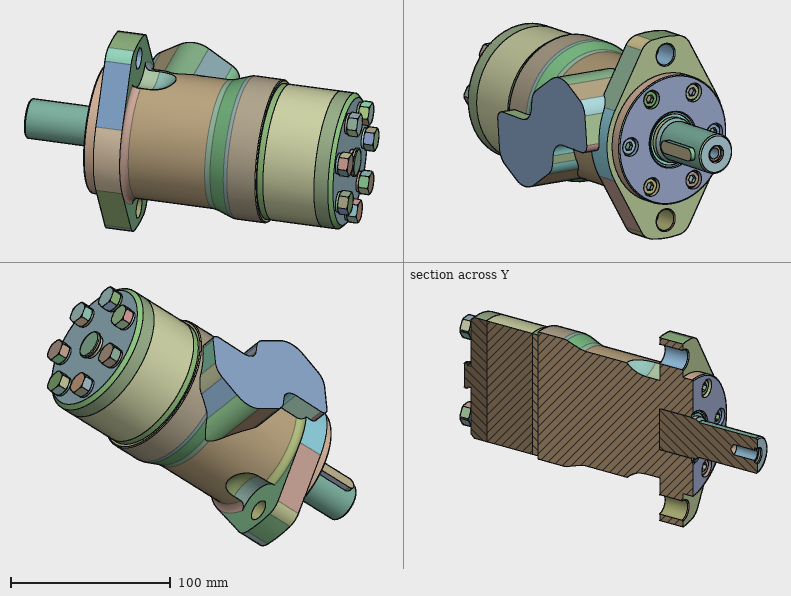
import cadquery as cq
import math

COLLAR_START = 42.6
PILOT_FRONT = 46.5
FLANGE_FRONT = 54.0
FLANGE_BACK = 71.2
NECK_END = 127.0
SHOULDER_START = 139.5
HOUSING_BACK = 159.7
PLATE_BACK = 163.6
GEROTOR_BACK = 196.7
COVER_BACK = 208.5
BOLT_HEAD_FRONT = 210.0
PLUG_BACK = 213.2
OVERALL_LENGTH = 216.5

PILOT_DIA = 82.7
NECK_RADIUS = 40.7
SHOULDER_RADIUS = 45.2
SHOULDER_INNER_FILLET = 10.8
SHOULDER_OUTER_FILLET = 7.4
FLANGE_FILLET = 4.3
EDGE_CHAMFER = 0.6

EAR_TIP_RADIUS = 65.0
EAR_SIDE_ANGLE = 30.0
EAR_CORNER_RADIUS = 11.3
MOUNT_HOLE_DIA = 13.5
MOUNT_HOLE_CHAMFER = 0.6
MOUNT_HOLE_OFFSET = 53.2
SCALLOP_RADIUS = 18.6
SCALLOP_LENGTH = 10.0

BLOCK_CENTRE_X = 110.2
BLOCK_ROOT_Y = 13.0
BLOCK_FACE_Y = 54.8
BLOCK_HALF_OUTLINE = [
    (-18.2, 41.8, 17.5),
    (-45.0, 25.5, 12.1),
    (-48.3, -4.8, 5.0),
    (-12.5, -4.0, 9.7),
    (-10.5, -23.0, 10.2),
]

SCREW_COUNT = 6
SCREW_CIRCLE_RADIUS = 32.5
SCREW_RECESS_DIA = 12.0
SCREW_HEAD_DIA = 10.0
SCREW_RECESS_DEPTH = 3.0
SCREW_HEAD_DEPTH = 1.7
SCREW_SOCKET_FLATS = 5.0
SCREW_SOCKET_DEPTH = 2.5

SHAFT_DIA = 25.0
SHAFT_CHAMFER = 0.9
COLLAR_DIA = 28.5
COLLAR_CONE_LENGTH = 2.2
SEAL_RECESS_DIA = 32.7
SEAL_RECESS_DEPTH = 1.3
SEAL_RIM_DIA = 36.4
SEAL_RIM_DEPTH = 0.6
SEAL_RIM_CHAMFER = 0.6
CENTRE_RECESS_DIA = 10.0
CENTRE_RECESS_DEPTH = 2.2
CENTRE_RECESS_CHAMFER = 0.6
CENTRE_HOLE_DIA = 7.0
CENTRE_HOLE_DEPTH = 17.3
DRILL_HALF_ANGLE = 59.0

KEY_START = 5.2
KEY_LENGTH = 32.2
KEY_WIDTH = 8.0
KEY_TOP_Y = 15.5
KEY_HEIGHT = 7.0

REAR_DIA = 86.0
COVER_CHAMFER = 2.5
BOLT_COUNT = 7
BOLT_CIRCLE_RADIUS = 31.5
BOLT_FLATS = 13.0
BOLT_EDGE_CHAMFER = 0.6
PLUG_DIA = 18.0
PLUG_NECK_DIA = 15.5
PLUG_NECK_LENGTH = 2.2
PLUG_CHAMFER = 0.6


def yz_plane(x):
    """Workplane facing +X, local axes Y and Z."""
    return cq.Workplane("YZ", origin=(x, 0, 0))


def cylinder(start, end, diameter):
    return yz_plane(start).circle(diameter / 2).extrude(end - start)


def revolve_about_axis(half_section):
    """Solid of revolution about X from (X, radius) points."""
    return cq.Workplane("XY").polyline(half_section).close().revolve(360, (0, 0, 0), (1, 0, 0))


def circle_points(radius, count):
    """Equally spaced (Y, Z) points, the first one on +Y."""
    step = 2 * math.pi / count
    return [(radius * math.cos(i * step), radius * math.sin(i * step)) for i in range(count)]


def hexagon(start, length, flats):
    """Hexagonal prism on the X axis with two of its corners along Y."""
    across_corners = flats / math.cos(math.pi / 6)
    return yz_plane(start).polygon(6, across_corners).extrude(length)


def make_flange():
    angle = math.radians(EAR_SIDE_ANGLE)
    side_y = SHOULDER_RADIUS * math.cos(angle)
    side_z = SHOULDER_RADIUS * math.sin(angle)
    side_length = math.sqrt(EAR_TIP_RADIUS**2 - SHOULDER_RADIUS**2)
    tip_y = side_y - side_length * math.sin(angle)
    tip_z = side_z + side_length * math.cos(angle)
    return (
        yz_plane(FLANGE_FRONT)
        .moveTo(side_y, -side_z)
        .threePointArc((SHOULDER_RADIUS, 0), (side_y, side_z))
        .lineTo(tip_y, tip_z)
        .threePointArc((0, EAR_TIP_RADIUS), (-tip_y, tip_z))
        .lineTo(-side_y, side_z)
        .threePointArc((-SHOULDER_RADIUS, 0), (-side_y, -side_z))
        .lineTo(-tip_y, -tip_z)
        .threePointArc((0, -EAR_TIP_RADIUS), (tip_y, -tip_z))
        .close()
        .extrude(FLANGE_BACK - FLANGE_FRONT)
        .edges("|X")
        .edges(">Z or <Z")
        .fillet(EAR_CORNER_RADIUS)
    )


def make_barrel():
    """Round body behind the flange: neck, flared root and the wider shoulder."""
    root_radius = NECK_RADIUS + FLANGE_FILLET
    root_mid = FLANGE_FILLET * (1 - math.sqrt(0.5))
    barrel = (
        cq.Workplane("XY")
        .moveTo(FLANGE_FRONT, 0)
        .lineTo(FLANGE_FRONT, NECK_RADIUS)
        .lineTo(FLANGE_BACK, NECK_RADIUS)
        .lineTo(FLANGE_BACK, root_radius)
        .threePointArc(
            (FLANGE_BACK + root_mid, NECK_RADIUS + root_mid),
            (FLANGE_BACK + FLANGE_FILLET, NECK_RADIUS),
        )
        .lineTo(NECK_END, NECK_RADIUS)
        .lineTo(SHOULDER_START, SHOULDER_RADIUS)
        .lineTo(HOUSING_BACK, SHOULDER_RADIUS)
        .lineTo(HOUSING_BACK, 0)
        .close()
        .revolve(360, (0, 0, 0), (1, 0, 0))
    )
    inner_edge = cq.selectors.NearestToPointSelector((NECK_END, 0, 0))
    outer_edge = cq.selectors.NearestToPointSelector((SHOULDER_START, 0, 0))
    barrel = barrel.edges(">X").chamfer(EDGE_CHAMFER)
    barrel = barrel.edges("%CIRCLE").edges(inner_edge).fillet(SHOULDER_INNER_FILLET)
    return barrel.edges("%CIRCLE").edges(outer_edge).fillet(SHOULDER_OUTER_FILLET)


def make_port_block():
    outline = BLOCK_HALF_OUTLINE + [(-x, -z, radius) for x, z, radius in BLOCK_HALF_OUTLINE]
    corners = [(BLOCK_CENTRE_X + x, z) for x, z, radius in outline]
    root_plane = cq.Workplane("XZ", origin=(0, BLOCK_ROOT_Y, 0))
    block = root_plane.polyline(corners).close().extrude(BLOCK_ROOT_Y - BLOCK_FACE_Y)
    middle_y = (BLOCK_ROOT_Y + BLOCK_FACE_Y) / 2
    for (x, z), (_, _, radius) in zip(corners, outline):
        corner_edge = cq.selectors.NearestToPointSelector((x, middle_y, z))
        block = block.edges(corner_edge).fillet(radius)
    return block


def scallop(side):
    """Round-ended clearance behind a mounting hole; side is +1 or -1 along Z."""
    ball_centre = FLANGE_BACK + SCALLOP_LENGTH
    diagonal = SCALLOP_RADIUS * math.sqrt(0.5)
    return (
        cq.Workplane("XY")
        .moveTo(FLANGE_BACK, 0)
        .lineTo(FLANGE_BACK, SCALLOP_RADIUS)
        .lineTo(ball_centre, SCALLOP_RADIUS)
        .threePointArc((ball_centre + diagonal, diagonal), (ball_centre + SCALLOP_RADIUS, 0))
        .close()
        .revolve(360, (0, 0, 0), (1, 0, 0))
        .translate((0, 0, side * MOUNT_HOLE_OFFSET))
    )


def mounting_hole(side):
    hole_radius = MOUNT_HOLE_DIA / 2
    half_section = [
        (FLANGE_FRONT, 0),
        (FLANGE_FRONT, hole_radius + MOUNT_HOLE_CHAMFER),
        (FLANGE_FRONT + MOUNT_HOLE_CHAMFER, hole_radius),
        (FLANGE_BACK, hole_radius),
        (FLANGE_BACK, 0),
    ]
    return revolve_about_axis(half_section).translate((0, 0, side * MOUNT_HOLE_OFFSET))


def socket_screw_recess(y, z):
    """Ring-shaped gap around a sunk screw head, with the hexagon socket of the head."""
    recess = cylinder(PILOT_FRONT, PILOT_FRONT + SCREW_RECESS_DEPTH, SCREW_RECESS_DIA)
    head_top = PILOT_FRONT + SCREW_HEAD_DEPTH
    head = cylinder(head_top, PILOT_FRONT + SCREW_RECESS_DEPTH, SCREW_HEAD_DIA)
    socket = hexagon(head_top, SCREW_SOCKET_DEPTH, SCREW_SOCKET_FLATS)
    return recess.cut(head).union(socket).translate((0, y, z))


def shaft_opening():
    """Shaft bore with the stepped seal recess in front of it."""
    rim_back = PILOT_FRONT + SEAL_RIM_DEPTH
    recess_back = PILOT_FRONT + SEAL_RECESS_DEPTH
    half_section = [
        (PILOT_FRONT, 0),
        (PILOT_FRONT, SEAL_RIM_DIA / 2),
        (rim_back, SEAL_RIM_DIA / 2 - SEAL_RIM_CHAMFER),
        (rim_back, SEAL_RECESS_DIA / 2),
        (recess_back, SEAL_RECESS_DIA / 2),
        (recess_back, COLLAR_DIA / 2),
        (FLANGE_BACK, COLLAR_DIA / 2),
        (FLANGE_BACK, 0),
    ]
    return revolve_about_axis(half_section)


def make_housing():
    pilot = cylinder(PILOT_FRONT, FLANGE_FRONT, PILOT_DIA).faces("<X").edges().chamfer(EDGE_CHAMFER)
    housing = make_barrel().union(pilot)
    for side in (-1, 1):
        housing = housing.cut(scallop(side))
    housing = housing.union(make_flange()).union(make_port_block())
    for side in (-1, 1):
        housing = housing.cut(mounting_hole(side))
    for y, z in circle_points(SCREW_CIRCLE_RADIUS, SCREW_COUNT):
        housing = housing.cut(socket_screw_recess(y, z))
    return housing.cut(shaft_opening())


def make_key():
    """Round-ended parallel key lying along X."""
    return (
        cq.Workplane("XZ", origin=(KEY_START + KEY_LENGTH / 2, KEY_TOP_Y, 0))
        .slot2D(KEY_LENGTH, KEY_WIDTH)
        .extrude(KEY_HEIGHT)
    )


def make_shaft(key):
    shaft_half_section = [
        (0, 0),
        (0, SHAFT_DIA / 2 - SHAFT_CHAMFER),
        (SHAFT_CHAMFER, SHAFT_DIA / 2),
        (COLLAR_START, SHAFT_DIA / 2),
        (COLLAR_START + COLLAR_CONE_LENGTH, COLLAR_DIA / 2),
        (FLANGE_BACK, COLLAR_DIA / 2),
        (FLANGE_BACK, 0),
    ]
    shaft = revolve_about_axis(shaft_half_section)
    hole_radius = CENTRE_HOLE_DIA / 2
    recess_radius = CENTRE_RECESS_DIA / 2
    drill_tip = CENTRE_HOLE_DEPTH + hole_radius / math.tan(math.radians(DRILL_HALF_ANGLE))
    hole_half_section = [
        (0, 0),
        (0, recess_radius + CENTRE_RECESS_CHAMFER),
        (CENTRE_RECESS_CHAMFER, recess_radius),
        (CENTRE_RECESS_DEPTH, recess_radius),
        (CENTRE_RECESS_DEPTH, hole_radius),
        (CENTRE_HOLE_DEPTH, hole_radius),
        (drill_tip, 0),
    ]
    return shaft.cut(revolve_about_axis(hole_half_section)).cut(key)


def bolt_head(y, z):
    """Hexagon head with chamfered corners on a round washer face."""
    length = OVERALL_LENGTH - BOLT_HEAD_FRONT
    across_corners = BOLT_FLATS / math.cos(math.pi / 6)
    envelope = cylinder(BOLT_HEAD_FRONT, OVERALL_LENGTH, across_corners).edges().chamfer(BOLT_EDGE_CHAMFER)
    head = hexagon(BOLT_HEAD_FRONT, length, BOLT_FLATS).intersect(envelope)
    washer_face = cylinder(COVER_BACK, BOLT_HEAD_FRONT, BOLT_FLATS)
    return head.union(washer_face).translate((0, y, z))


def make_end_cover():
    cover = cylinder(GEROTOR_BACK, COVER_BACK, REAR_DIA).faces(">X").edges().chamfer(COVER_CHAMFER)
    for y, z in circle_points(BOLT_CIRCLE_RADIUS, BOLT_COUNT):
        cover = cover.union(bolt_head(y, z))
    plug_start = COVER_BACK + PLUG_NECK_LENGTH
    plug_head = cylinder(plug_start, PLUG_BACK, PLUG_DIA).edges().chamfer(PLUG_CHAMFER)
    plug_neck = cylinder(COVER_BACK, plug_start, PLUG_NECK_DIA)
    return cover.union(plug_neck).union(plug_head)


housing = make_housing()
key = make_key()
shaft = make_shaft(key)
distributor_plate = cylinder(HOUSING_BACK, PLATE_BACK, REAR_DIA)
gerotor_set = cylinder(PLATE_BACK, GEROTOR_BACK, REAR_DIA)
end_cover = make_end_cover()

result = cq.Compound.makeCompound(
    [
        housing.val(),
        shaft.val(),
        key.val(),
        distributor_plate.val(),
        gerotor_set.val(),
        end_cover.val(),
    ]
)